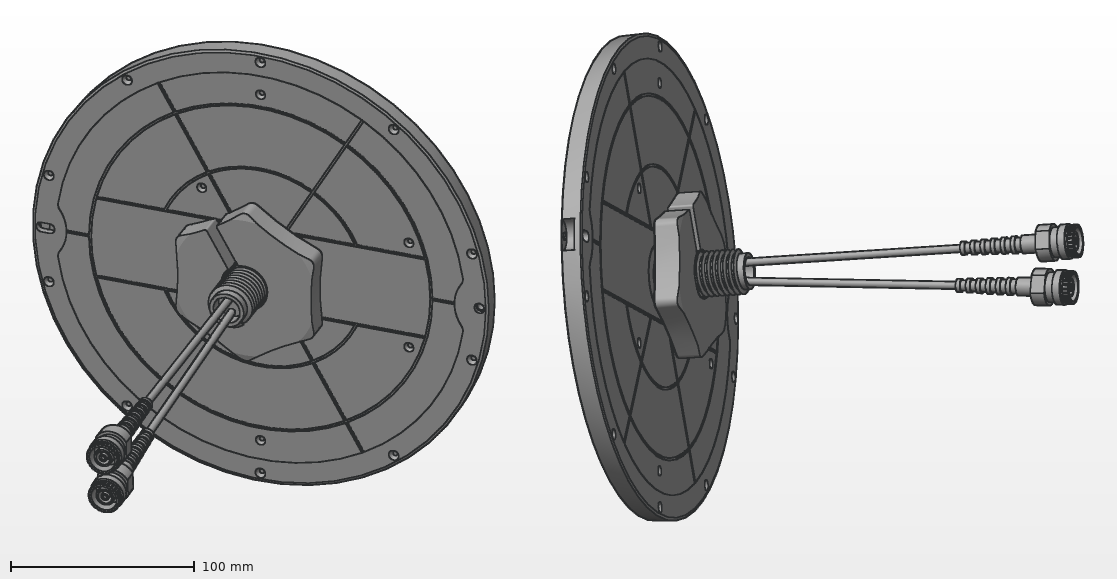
import cadquery as cq
import math


DISC_RADIUS = 133.0
RIM_TOP_RADIUS = 132.5
RIM_TOP = 11.2
RIM_FOOT_CHAMFER = 1.5
RIM_FOOT_HEIGHT = 0.5
RIM_TOP_CHAMFER = 1.3
RIM_TOP_BEVEL_HEIGHT = 0.8
DOME_TOP = 17.8
DOME_RING_INNER, DOME_RING_OUTER = 79.8, 90.5
DOME_RING_DEPTH = 0.3

DOME_EDGE_RADIUS = RIM_TOP_RADIUS - RIM_TOP_CHAMFER
DOME_EDGE = RIM_TOP + RIM_TOP_BEVEL_HEIGHT
DOME_SAG = DOME_TOP - DOME_EDGE
DOME_SPHERE_RADIUS = (DOME_EDGE_RADIUS**2 + DOME_SAG**2) / (2 * DOME_SAG)

FIELD_RADIUS = 119.2
FIELD_STEP = 0.3
NOTCH_RADIUS = 23.0
NOTCH_DEPTH = 6.0
NOTCH_FILLET = 5.3
SEAT_RADIUS = 18.0
SEAT_DEPTH = 0.5
GROOVE_WIDTH = 1.3
GROOVE_DEPTH = 1.0
OUTER_RING_RADIUS = 99.5
INNER_RING_RADIUS = 61.0
BAND_HALF_HEIGHT = 24.5
SPOKE_ANGLES = (60, 120, 240, 300)

SINK_RADIUS = 3.0
SINK_BOTTOM_RADIUS = 1.3
SINK_DEPTH = 2.5
RIM_HOLE_RADIUS = 127.7
RIM_HOLE_STEP = 37.5
FIELD_HOLE_DISTANCE = 107.5
INNER_HOLE_X, INNER_HOLE_Z = -34.3, 42.8
BAND_HOLE_X, BAND_HOLE_Z = 86.5, 32.5

DRAIN_RADIUS = 2.0
RIM_SLOT_INNER_X = 123.0
SCALLOP_RADIUS = 8.8
SCALLOP_FLOOR = 4.0

STEM_RADIUS = 9.98
STEM_LENGTH = 51.3
STEM_BORE_RADIUS = 7.7
STEM_BORE_DEPTH = 8.0
THREAD_RADIUS = 12.5
THREAD_PITCH = 3.05
THREAD_START = -0.93
THREAD_END = 47.5
THREAD_ROOT_WIDTH = 2.5
THREAD_EMBED = 0.5

NUT_NEAR_Y = -9.8
NUT_THICKNESS = 14.5
NUT_CORNER_RADIUS = 47.0
NUT_SIDE_RADIUS = 38.8
NUT_CORNER_FILLET = 4.5
NUT_NEAR_CHAMFER = 0.8
NUT_BEVEL_RADIUS = 41.8
NUT_BEVEL_HEIGHT = 1.0
NUT_BEVEL_WIDTH = 4.3
NUT_BORE_RADIUS = 12.8
NUT_BORE_CHAMFER = 0.8
NUT_SLOT_WIDTH = 6.6
NUT_SLOT_ANGLE = 120
NUT_SLOT_FILLET = 1.0

CABLE_RADIUS = 2.0
CABLE_OFFSET = 5.0
UPPER_REACH = 197.0
LOWER_REACH = 195.0
LOWER_TILT = 4.6
BOOT_LENGTH = 45.2
BOOT_RIBS = 6
BOOT_RIB_PITCH = 5.9
BOOT_RIB_LENGTH = 2.5
BOOT_RIB_HEIGHT = 0.8
BOOT_START_RADIUS = 3.7
BOOT_END_RADIUS = 5.0
WRENCH_LENGTH, WRENCH_RADIUS = 8.0, 10.0
WRENCH_ACROSS_FLATS = 17.5
NECK_LENGTH, NECK_RADIUS = 4.5, 8.2
COLLAR_LENGTH, COLLAR_RADIUS = 4.3, 9.5
GAP_LENGTH = 1.3
LIP_LENGTH, LIP_RADIUS = 3.5, 9.0
KNURL_COUNT = 24
KNURL_WIDTH = 0.8
KNURL_DEPTH = 0.5
SOCKET_RADIUS = 7.5
SOCKET_DEPTH = 8.0
SLEEVE_RADIUS, SLEEVE_BORE_RADIUS, SLEEVE_LENGTH = 5.0, 4.0, 6.6
PIN_RADIUS, PIN_BORE_RADIUS = 2.0, 1.0


def underside(y=0.0):
    """Sketch plane at height y: local axes are X and Z, and extruding goes toward -Y."""
    return cq.Workplane("XZ", origin=(0, y, 0))


def polar(radius, angle):
    """Point (x, z) at an angle in degrees from +X."""
    return radius * math.cos(math.radians(angle)), radius * math.sin(math.radians(angle))


def turned(points):
    """Solid of revolution about Y from a closed profile of (radius, y) points."""
    return cq.Workplane("XY").polyline(points).close().revolve(360, (0, 0, 0), (0, 1, 0))


def dome_height(radius):
    """Height of the dome surface, a shallow spherical cap, at a distance from the disc's axis."""
    return DOME_TOP - DOME_SPHERE_RADIUS + math.sqrt(DOME_SPHERE_RADIUS**2 - radius**2)


def disc_blank():
    middle_radius = DOME_EDGE_RADIUS / 2
    return (
        cq.Workplane("XY")
        .lineTo(DISC_RADIUS - RIM_FOOT_CHAMFER, 0)
        .lineTo(DISC_RADIUS, RIM_FOOT_HEIGHT)
        .lineTo(RIM_TOP_RADIUS, RIM_TOP)
        .lineTo(DOME_EDGE_RADIUS, DOME_EDGE)
        .threePointArc((middle_radius, dome_height(middle_radius)), (0, DOME_TOP))
        .close()
        .revolve(360, (0, 0, 0), (0, 1, 0))
    )


def dome_ring():
    """Faint ring groove that follows the slope of the dome."""
    inner_y = dome_height(DOME_RING_INNER)
    outer_y = dome_height(DOME_RING_OUTER)
    return turned(
        [
            (DOME_RING_INNER, inner_y - DOME_RING_DEPTH),
            (DOME_RING_OUTER, outer_y - DOME_RING_DEPTH),
            (DOME_RING_OUTER, DOME_TOP),
            (DOME_RING_INNER, DOME_TOP),
        ]
    )


def field_recess():
    """Round field with one rounded bite at each end of the X axis."""
    field = underside().circle(FIELD_RADIUS).extrude(-FIELD_STEP)
    bite_x = FIELD_RADIUS - NOTCH_DEPTH + NOTCH_RADIUS
    bites = underside().pushPoints([(bite_x, 0), (-bite_x, 0)]).circle(NOTCH_RADIUS).extrude(-FIELD_STEP)
    return field.cut(bites).edges("|Y").fillet(NOTCH_FILLET)


def ring_groove(radius):
    half = GROOVE_WIDTH / 2
    return underside().circle(radius + half).circle(radius - half).extrude(-GROOVE_DEPTH)


def band(half_width, half_height):
    """Flat rectangular block about the centre, as deep as a groove."""
    return underside().rect(2 * half_width, 2 * half_height).extrude(-GROOVE_DEPTH)


def straight_groove(start, end, angle=0, offset=0.0):
    """Groove between two distances from the centre, turned by angle, shifted sideways by offset."""
    groove = (
        underside()
        .center((start + end) / 2, offset)
        .rect(end - start, GROOVE_WIDTH)
        .extrude(-GROOVE_DEPTH)
    )
    return groove.rotate((0, 0, 0), (0, 1, 0), -angle)


def groove_pattern():
    inside_band = band(DISC_RADIUS, BAND_HALF_HEIGHT)
    pattern = ring_groove(INNER_RING_RADIUS)
    for angle in SPOKE_ANGLES:
        pattern = pattern.union(straight_groove(BAND_HALF_HEIGHT, FIELD_RADIUS, angle))
    pattern = pattern.cut(inside_band).union(ring_groove(OUTER_RING_RADIUS))
    band_end = math.sqrt(OUTER_RING_RADIUS**2 - BAND_HALF_HEIGHT**2)
    for side in (-1, 1):
        pattern = pattern.union(straight_groove(-band_end, band_end, offset=side * BAND_HALF_HEIGHT))
    for angle in (0, 180):
        pattern = pattern.union(straight_groove(OUTER_RING_RADIUS, FIELD_RADIUS - NOTCH_DEPTH, angle))
    return pattern


def screw_hole_places():
    places = []
    for pole in (90, 270):
        for step in (-2, -1, 0, 1, 2):
            places.append(polar(RIM_HOLE_RADIUS, pole + step * RIM_HOLE_STEP))
    for side in (-1, 1):
        places.append((0, side * FIELD_HOLE_DISTANCE))
        places.append((INNER_HOLE_X, side * INNER_HOLE_Z))
        places.append((BAND_HOLE_X, side * BAND_HOLE_Z))
    return places


def countersink():
    return turned([(0, 0), (SINK_RADIUS, 0), (SINK_BOTTOM_RADIUS, SINK_DEPTH), (0, SINK_DEPTH)])


def rim_drains(disc):
    """Through holes at both ends of X; the one at -X opens into a slot and a side scallop."""
    places = [(RIM_HOLE_RADIUS, 0), (-RIM_HOLE_RADIUS, 0)]
    drains = underside().pushPoints(places).circle(DRAIN_RADIUS).extrude(-DOME_TOP)
    mouths = underside().pushPoints(places).circle(SINK_RADIUS).extrude(-SINK_DEPTH)
    slot_middle = (RIM_HOLE_RADIUS + RIM_SLOT_INNER_X) / 2
    slot_length = RIM_HOLE_RADIUS - RIM_SLOT_INNER_X + 2 * SINK_RADIUS
    slot = underside().center(-slot_middle, 0).slot2D(slot_length, 2 * SINK_RADIUS).extrude(-SCALLOP_FLOOR)
    scallop = (
        underside(SCALLOP_FLOOR)
        .center(-DISC_RADIUS, 0)
        .circle(SCALLOP_RADIUS)
        .extrude(SCALLOP_FLOOR - RIM_TOP)
    )
    return disc.cut(drains).cut(mouths).cut(slot).cut(scallop)


def make_disc():
    disc = disc_blank().cut(dome_ring()).cut(field_recess()).cut(groove_pattern())
    disc = disc.cut(underside().circle(SEAT_RADIUS).extrude(-SEAT_DEPTH))
    for x, z in screw_hole_places():
        disc = disc.cut(countersink().translate((x, 0, z)))
    return rim_drains(disc)


def thread_ridge():
    """Right-handed ridge wound about Z, then laid along -Y."""
    helix = cq.Wire.makeHelix(THREAD_PITCH, THREAD_END - THREAD_START, STEM_RADIUS)
    inner = STEM_RADIUS - THREAD_EMBED
    ridge = (
        cq.Workplane("XZ")
        .polyline(
            [
                (inner, -THREAD_ROOT_WIDTH / 2),
                (THREAD_RADIUS, 0),
                (inner, THREAD_ROOT_WIDTH / 2),
            ]
        )
        .close()
        .sweep(cq.Workplane(obj=helix), isFrenet=True)
    )
    return ridge.rotate((0, 0, 0), (1, 0, 0), 90).translate((0, -THREAD_START, 0))


def make_stem():
    shank = underside(GROOVE_DEPTH).circle(STEM_RADIUS).extrude(STEM_LENGTH + GROOVE_DEPTH)
    bore = underside(-STEM_LENGTH).circle(STEM_BORE_RADIUS).extrude(-STEM_BORE_DEPTH)
    return shank.union(thread_ridge()).cut(bore)


def boot_profile(start):
    """(radius, y) points of the ribbed, widening cable boot that begins at a distance along the cable."""
    points = [(0, -start)]
    growth = (BOOT_END_RADIUS - BOOT_START_RADIUS) / (BOOT_RIBS * BOOT_RIB_PITCH)
    for rib in range(BOOT_RIBS):
        rib_start = rib * BOOT_RIB_PITCH
        rib_end = rib_start + BOOT_RIB_LENGTH
        next_rib = rib_start + BOOT_RIB_PITCH
        radius = BOOT_START_RADIUS + growth * rib_start
        valley = radius - BOOT_RIB_HEIGHT
        points += [(radius, -start - rib_start), (radius, -start - rib_end)]
        points += [(valley, -start - rib_end), (valley, -start - next_rib)]
    points += [(BOOT_END_RADIUS, -start - BOOT_RIBS * BOOT_RIB_PITCH)]
    points += [(BOOT_END_RADIUS, -start - BOOT_LENGTH), (0, -start - BOOT_LENGTH)]
    return points


def barrel(start, length, radius):
    """Cylinder along -Y that begins at a distance from the origin."""
    return underside(-start).circle(radius).extrude(length)


def knurl_cuts(start, length, radius):
    """Ring of small axial notches around a cylinder."""
    return (
        underside(-start)
        .polarArray(radius, 0, 360, KNURL_COUNT)
        .rect(2 * KNURL_DEPTH, KNURL_WIDTH)
        .extrude(length)
    )


def make_cable(reach):
    """Cable with boot and connector along -Y, its inner end at the origin."""
    lip_start = reach - LIP_LENGTH
    gap_start = lip_start - GAP_LENGTH
    collar_start = gap_start - COLLAR_LENGTH
    neck_start = collar_start - NECK_LENGTH
    wrench_start = neck_start - WRENCH_LENGTH
    boot_start = wrench_start - BOOT_LENGTH

    flats = underside(-wrench_start).rect(WRENCH_ACROSS_FLATS, 2 * WRENCH_RADIUS).extrude(WRENCH_LENGTH)
    wrench_grip = barrel(wrench_start, WRENCH_LENGTH, WRENCH_RADIUS).intersect(flats)
    lip = barrel(lip_start, LIP_LENGTH, LIP_RADIUS).cut(knurl_cuts(lip_start, LIP_LENGTH, LIP_RADIUS))
    cable = (
        barrel(0, boot_start, CABLE_RADIUS)
        .union(turned(boot_profile(boot_start)))
        .union(wrench_grip)
        .union(barrel(neck_start, NECK_LENGTH, NECK_RADIUS))
        .union(barrel(collar_start, COLLAR_LENGTH, COLLAR_RADIUS))
        .union(barrel(gap_start, GAP_LENGTH, NECK_RADIUS))
        .union(lip)
    )

    socket_floor = reach - SOCKET_DEPTH
    sleeve = barrel(socket_floor, SLEEVE_LENGTH, SLEEVE_RADIUS)
    sleeve = sleeve.cut(barrel(socket_floor, SLEEVE_LENGTH, SLEEVE_BORE_RADIUS))
    pin = barrel(socket_floor, SLEEVE_LENGTH, PIN_RADIUS)
    pin = pin.cut(barrel(socket_floor, SLEEVE_LENGTH, PIN_BORE_RADIUS))
    return cable.cut(barrel(socket_floor, SOCKET_DEPTH, SOCKET_RADIUS)).union(sleeve).union(pin)


def make_antenna():
    """Disc, threaded stem and the two cables as one body."""
    bore_floor = STEM_BORE_DEPTH - STEM_LENGTH
    upper = make_cable(UPPER_REACH).translate((0, bore_floor, CABLE_OFFSET))
    lower = (
        make_cable(LOWER_REACH)
        .rotate((0, 0, 0), (1, 0, 0), LOWER_TILT)
        .translate((0, bore_floor, -CABLE_OFFSET))
    )
    return make_disc().union(make_stem()).union(upper).union(lower)


def nut_blank():
    """Six-cornered block with hollow sides and rounded corners."""
    outline = underside(NUT_NEAR_Y).moveTo(*polar(NUT_CORNER_RADIUS, 30))
    for side in range(6):
        middle = polar(NUT_SIDE_RADIUS, 60 + 60 * side)
        corner = polar(NUT_CORNER_RADIUS, 90 + 60 * side)
        outline = outline.threePointArc(middle, corner)
    block = outline.close().extrude(NUT_THICKNESS).edges("|Y").fillet(NUT_CORNER_FILLET)
    return block.faces(">Y").chamfer(NUT_NEAR_CHAMFER)


def corner_bevel():
    """Turned envelope that bevels the corners on the face away from the disc."""
    far_y = NUT_NEAR_Y - NUT_THICKNESS
    outer = NUT_BEVEL_RADIUS + NUT_BEVEL_WIDTH
    return turned(
        [
            (0, NUT_NEAR_Y),
            (outer, NUT_NEAR_Y),
            (outer, far_y + NUT_BEVEL_HEIGHT),
            (NUT_BEVEL_RADIUS, far_y),
            (0, far_y),
        ]
    )


def make_nut():
    nut = nut_blank().intersect(corner_bevel())
    nut = nut.cut(underside(NUT_NEAR_Y).circle(NUT_BORE_RADIUS).extrude(NUT_THICKNESS))
    nut = nut.faces("<Y").edges("%CIRCLE").edges(cq.selectors.RadiusNthSelector(0)).chamfer(NUT_BORE_CHAMFER)
    slot_half_angle = math.degrees(math.asin(NUT_SLOT_WIDTH / 2 / NUT_SIDE_RADIUS))
    slot = (
        underside(NUT_NEAR_Y)
        .center(NUT_CORNER_RADIUS / 2, 0)
        .rect(NUT_CORNER_RADIUS, NUT_SLOT_WIDTH)
        .extrude(NUT_THICKNESS)
        .rotate((0, 0, 0), (0, 1, 0), -NUT_SLOT_ANGLE)
    )
    nut = nut.cut(slot)
    for side in (-1, 1):
        mouth_x, mouth_z = polar(NUT_SIDE_RADIUS, NUT_SLOT_ANGLE + side * slot_half_angle)
        mouth = cq.selectors.NearestToPointSelector((mouth_x, NUT_NEAR_Y - NUT_THICKNESS / 2, mouth_z))
        nut = nut.edges("|Y").edges(mouth).fillet(NUT_SLOT_FILLET)
    return nut


antenna = make_antenna()
nut = make_nut()

result = cq.Compound.makeCompound([antenna.solids().val(), nut.solids().val()])